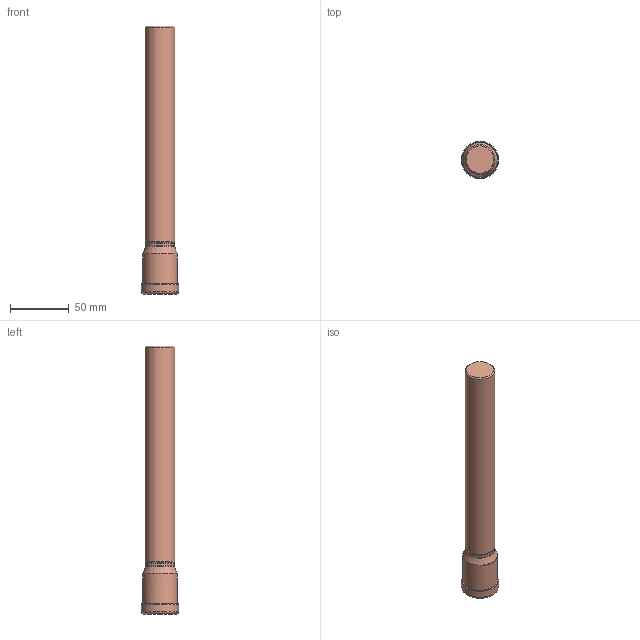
import cadquery as cq

total_height = 228.6
flange_diameter = 31.75

shaft_diameter = 25.4
end_chamfer = 1.0
neck_diameter = 24.6
neck_top = 43.5
neck_bottom = 40.75
body_diameter = 29.8
flare_bottom = 34.5
blend_radius = 1.5

flange_height = 8.7
flange_top_chamfer = 0.5
flange_bottom_fillet = 2.0


def make_post():
    """Turned post whose neck runs into the shaft and the body over slopes of equal angle."""
    shaft_radius = shaft_diameter / 2
    neck_radius = neck_diameter / 2
    body_radius = body_diameter / 2
    flare_run_per_rise = (body_radius - neck_radius) / (neck_bottom - flare_bottom)
    shaft_bottom = neck_top + (shaft_radius - neck_radius) / flare_run_per_rise
    post = (
        cq.Workplane("XZ")
        .moveTo(0, flange_height)
        .lineTo(body_radius, flange_height)
        .lineTo(body_radius, flare_bottom)
        .lineTo(neck_radius, neck_bottom)
        .lineTo(neck_radius, neck_top)
        .lineTo(shaft_radius, shaft_bottom)
        .lineTo(shaft_radius, total_height)
        .lineTo(0, total_height)
        .close()
        .revolve(360, (0, 0, 0), (0, 1, 0))
    )
    post = post.faces(">Z").edges().chamfer(end_chamfer)
    for blend_height in (flare_bottom, neck_bottom, neck_top):
        corner = cq.selectors.NearestToPointSelector((0, 0, blend_height))
        post = post.edges("%CIRCLE").edges(corner).fillet(blend_radius)
    return post


def make_flange():
    """Disc with a chamfered upper edge and a rounded lower edge."""
    disc = cq.Workplane("XY").circle(flange_diameter / 2).extrude(flange_height)
    disc = disc.faces(">Z").edges().chamfer(flange_top_chamfer)
    return disc.faces("<Z").edges().fillet(flange_bottom_fillet)


post = make_post()
flange = make_flange()
result = cq.Compound.makeCompound([post.val(), flange.val()])